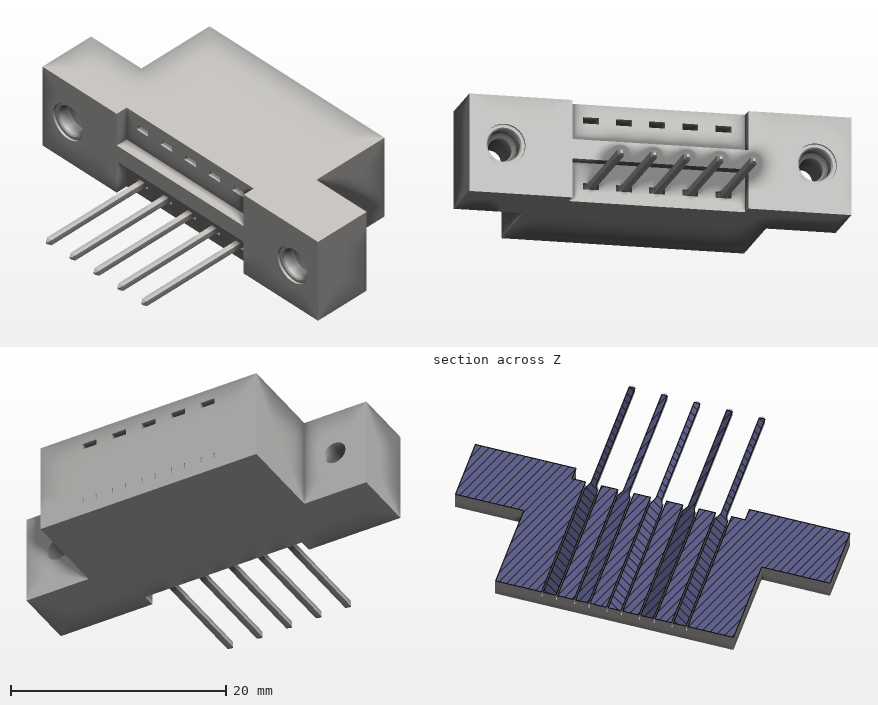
import cadquery as cq

HOUSING_WIDTH = 36.45
HOUSING_HEIGHT = 9.4
HOUSING_DEPTH = 15.24
BLOCK_WIDTH = 23.16
FLANGE_DEPTH = 6.35

RECESS_WIDTH = 16.8
RECESS_DEPTH = 1.3
WEB_HEIGHT = 1.87
RECESS_HEIGHT = (HOUSING_HEIGHT - WEB_HEIGHT) / 2

CONTACT_COUNT = 5
CONTACT_PITCH = 3.16
ROW_OFFSET = 3.175
SLOT_WIDTH = 1.52
SLOT_HEIGHT = 0.6

OVERALL_DEPTH = 26.42
TAIL_PROJECTION = OVERALL_DEPTH - HOUSING_DEPTH
BLADE_WIDTH = 1.27
TAIL_WIDTH = 0.6
TAIL_THICKNESS = SLOT_HEIGHT
TIP_LENGTH = 0.33
TIP_WIDTH = 0.24
SHOULDER_LENGTH = 0.8

BUSHING_SPACING = 29.7
BUSHING_RADIUS = 1.98
BUSHING_SETBACK = 0.25
COUNTERBORE_RADIUS = 1.55
COUNTERBORE_DEPTH = 1.45
MOUTH_RADIUS = 1.68
MOUTH_BEVEL_DEPTH = 0.15
BORE_RADIUS = 1.13
TAPER_LENGTH = COUNTERBORE_RADIUS - BORE_RADIUS

contact_positions = [
    (index - (CONTACT_COUNT - 1) / 2) * CONTACT_PITCH for index in range(CONTACT_COUNT)
]
bushing_positions = [-BUSHING_SPACING / 2, BUSHING_SPACING / 2]


def block(width, depth, height, x=0, z=0):
    """Box centred on x and z that runs back in +Y from its front face at y = 0."""
    return cq.Workplane("XY").box(width, depth, height, centered=(True, False, True)).translate((x, 0, z))


def make_housing():
    body = block(HOUSING_WIDTH, FLANGE_DEPTH, HOUSING_HEIGHT)
    body = body.union(block(BLOCK_WIDTH, HOUSING_DEPTH, HOUSING_HEIGHT))

    recess_z = (WEB_HEIGHT + RECESS_HEIGHT) / 2
    for side in (-1, 1):
        body = body.cut(block(RECESS_WIDTH, RECESS_DEPTH, RECESS_HEIGHT, z=side * recess_z))
        for x in contact_positions:
            body = body.cut(block(SLOT_WIDTH, HOUSING_DEPTH, SLOT_HEIGHT, x=x, z=side * ROW_OFFSET))

    for x in bushing_positions:
        hole = cq.Workplane("XZ").center(x, 0).circle(BUSHING_RADIUS).extrude(-FLANGE_DEPTH)
        body = body.cut(hole)
    return body


def make_contact(x):
    tip_base_y = TIP_LENGTH - TAIL_PROJECTION
    shoulder_end = RECESS_DEPTH + SHOULDER_LENGTH
    half_outline = [
        (TAIL_WIDTH / 2, tip_base_y),
        (TAIL_WIDTH / 2, RECESS_DEPTH),
        (BLADE_WIDTH / 2, shoulder_end),
        (BLADE_WIDTH / 2, HOUSING_DEPTH),
    ]
    mirrored_outline = [(-px, py) for px, py in reversed(half_outline)]
    body = (
        cq.Workplane("XY")
        .polyline(half_outline + mirrored_outline)
        .close()
        .extrude(TAIL_THICKNESS / 2, both=True)
    )
    tip = (
        cq.Workplane("XZ", origin=(0, tip_base_y, 0))
        .rect(TAIL_WIDTH, TAIL_THICKNESS)
        .workplane(offset=TIP_LENGTH)
        .rect(TIP_WIDTH, TIP_WIDTH)
        .loft(ruled=True)
    )
    return body.union(tip).translate((x, 0, -ROW_OFFSET))


def make_bushing(x):
    mouth_bevel_end = BUSHING_SETBACK + MOUTH_BEVEL_DEPTH
    counterbore_end = BUSHING_SETBACK + COUNTERBORE_DEPTH
    half_section = [
        (BUSHING_RADIUS, BUSHING_SETBACK),
        (MOUTH_RADIUS, BUSHING_SETBACK),
        (COUNTERBORE_RADIUS, mouth_bevel_end),
        (COUNTERBORE_RADIUS, counterbore_end),
        (BORE_RADIUS, counterbore_end + TAPER_LENGTH),
        (BORE_RADIUS, FLANGE_DEPTH),
        (BUSHING_RADIUS, FLANGE_DEPTH),
    ]
    sleeve = cq.Workplane("XY").polyline(half_section).close().revolve(360, (0, 0), (0, 1))
    return sleeve.translate((x, 0, 0))


housing = make_housing()
contacts = [make_contact(x) for x in contact_positions]
bushings = [make_bushing(x) for x in bushing_positions]

result = cq.Compound.makeCompound([
    housing.val(),
    *[contact.val() for contact in contacts],
    *[bushing.val() for bushing in bushings],
])